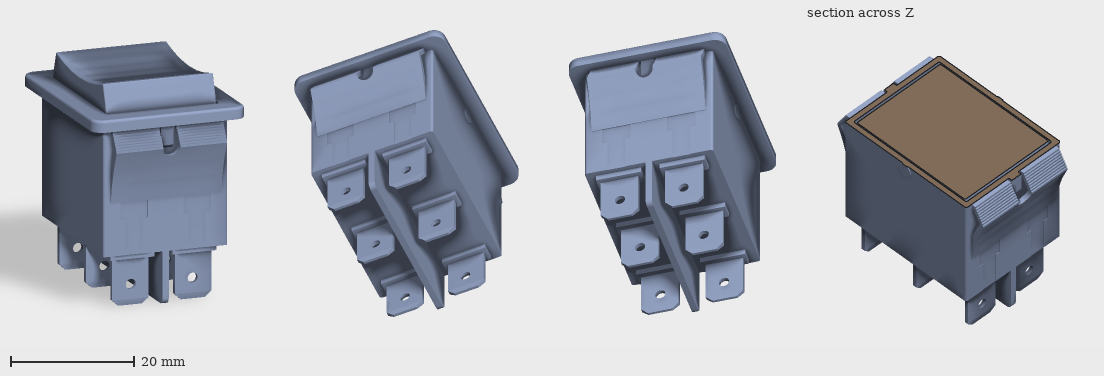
import cadquery as cq


FLANGE_LENGTH = 33.0
FLANGE_WIDTH = 26.6
FLANGE_THICKNESS = 2.0
FLANGE_CORNER_RADIUS = 2.0
FLANGE_EDGE_RADIUS = 0.5

OPENING_LENGTH = 25.9
OPENING_WIDTH = 19.55
OPENING_CORNER_RADIUS = 0.25
OPENING_FLOOR_Z = -2.9

ROCKER_WIDTH = 19.2
ROCKER_TOP_Z = 6.55
ROCKER_DISH_Z = 5.0
ROCKER_TOP_LENGTH = 21.1
ROCKER_BASE_LENGTH = 25.83
ROCKER_BULGE_LENGTH = 24.23
ROCKER_BULGE_Z = 1.75
ROCKER_EDGE_RADIUS = 0.2

BODY_LENGTH = 28.1
BODY_WIDTH = 21.7
BODY_HEIGHT = 21.7
BODY_CORNER_RADIUS = 0.4

PIVOT_DIAMETER = 2.6
PIVOT_PROTRUSION = 0.15

CLIP_SPAN = 33.7
CLIP_WIDTH = 19.25
CLIP_TOP_Z = -0.15
CLIP_BOTTOM_Z = -12.7
CLIP_TOE = 0.07
CLIP_EMBED = 0.37
STEP_COUNT = 9
STAIR_HEIGHT = 3.5
STEP_HEIGHT = STAIR_HEIGHT / STEP_COUNT
STEP_DEPTH = 0.238
CLIP_OUTER_MID = (14.9, -8.88)
CLIP_INNER_ROOT_TOP_Z = -0.35
CLIP_INNER_TIP = (16.0, -3.35)
CLIP_INNER_MID = (14.95, -5.6)
CLIP_INNER_ROOT_BOTTOM_Z = -8.0
CLIP_SLOT_WIDTH = 2.97
CLIP_SLOT_BOTTOM_Z = -5.05

STOP_WIDTH = 2.2
STOP_PROTRUSION = 0.7
STOP_FACE_HEIGHT = 3.65
STOP_HEIGHT = 4.2

RECESS_DEPTH = 0.07
RECESS_OFFSET = 5.5
RECESS_TOP_Z = CLIP_BOTTOM_Z
RECESS_SHOULDER_Z = -15.7
RECESS_HEAD_WIDTH = 4.8
RECESS_STEM_WIDTH = 2.97

TIP_Z = -30.65
TERMINAL_PITCH = 11.9
TERMINAL_ROW_OFFSET = 5.45
TERMINAL_WIDTH = 6.35
TERMINAL_THICKNESS = 0.75
TERMINAL_TIP_HEIGHT = 1.0
TERMINAL_TIP_INSET = 1.1
TERMINAL_TIP_BEVEL = 0.15
TERMINAL_HOLE_DIAMETER = 1.7
TERMINAL_HOLE_OFFSET = 5.4
TERMINAL_HOLE_Z = -27.15
PAD_LENGTH = 2.45
PAD_WIDTH = 7.65
PAD_HEIGHT = 0.95
PAD_OFFSET = 5.4
BARRIER_THICKNESS = 1.08
BARRIER_CORNER_RADIUS = 1.0

BODY_END_X = BODY_LENGTH / 2
BODY_BOTTOM_Z = -BODY_HEIGHT


def box(length, width, bottom_z, top_z, x=0.0, y=0.0):
    """Upright box centred on (x, y)."""
    block = cq.Workplane("XY").box(length, width, top_z - bottom_z, centered=(True, True, False))
    return block.translate((x, y, bottom_z))


def extrude_along_y(profile, width):
    """Extrude an XZ profile symmetrically about Y = 0."""
    return profile.extrude(width / 2, both=True)


def on_both_ends(feature):
    """Feature together with its mirror image at the other X end."""
    return feature.union(feature.mirror("YZ"))


def make_flange():
    flange = box(FLANGE_LENGTH, FLANGE_WIDTH, 0.0, FLANGE_THICKNESS)
    flange = flange.edges("|Z").fillet(FLANGE_CORNER_RADIUS)
    return flange.faces(">Z").edges().fillet(FLANGE_EDGE_RADIUS)


def make_body():
    body = box(BODY_LENGTH, BODY_WIDTH, BODY_BOTTOM_Z, 0.0)
    return body.edges("|Z").fillet(BODY_CORNER_RADIUS)


def make_opening():
    opening = box(OPENING_LENGTH, OPENING_WIDTH, OPENING_FLOOR_Z, FLANGE_THICKNESS)
    return opening.edges("|Z").fillet(OPENING_CORNER_RADIUS)


def make_rocker():
    top_x = ROCKER_TOP_LENGTH / 2
    base_x = ROCKER_BASE_LENGTH / 2
    bulge_x = ROCKER_BULGE_LENGTH / 2
    profile = (
        cq.Workplane("XZ")
        .moveTo(-base_x, OPENING_FLOOR_Z)
        .threePointArc((-bulge_x, ROCKER_BULGE_Z), (-top_x, ROCKER_TOP_Z))
        .threePointArc((0.0, ROCKER_DISH_Z), (top_x, ROCKER_TOP_Z))
        .threePointArc((bulge_x, ROCKER_BULGE_Z), (base_x, OPENING_FLOOR_Z))
        .close()
    )
    rocker = extrude_along_y(profile, ROCKER_WIDTH)
    return rocker.edges("not <Z").fillet(ROCKER_EDGE_RADIUS)


def make_pivots():
    profile = cq.Workplane("XZ").center(0.0, -PIVOT_DIAMETER / 2).circle(PIVOT_DIAMETER / 2)
    return extrude_along_y(profile, BODY_WIDTH + 2 * PIVOT_PROTRUSION)


def make_clip():
    """Clip at the +X end: stepped ramp outside, bowed spring leg below it."""
    root_x = BODY_END_X - CLIP_EMBED
    tip_x = CLIP_SPAN / 2
    profile = cq.Workplane("XZ").moveTo(root_x, CLIP_TOP_Z)
    for step in range(STEP_COUNT):
        step_x = tip_x - (STEP_COUNT - 1 - step) * STEP_DEPTH
        profile = profile.lineTo(step_x, CLIP_TOP_Z - step * STEP_HEIGHT)
        profile = profile.lineTo(step_x, CLIP_TOP_Z - (step + 1) * STEP_HEIGHT)
    profile = (
        profile.threePointArc(CLIP_OUTER_MID, (BODY_END_X + CLIP_TOE, CLIP_BOTTOM_Z))
        .lineTo(root_x, CLIP_BOTTOM_Z)
        .lineTo(root_x, CLIP_INNER_ROOT_BOTTOM_Z)
        .lineTo(BODY_END_X, CLIP_INNER_ROOT_BOTTOM_Z)
        .threePointArc(CLIP_INNER_MID, CLIP_INNER_TIP)
        .lineTo(BODY_END_X, CLIP_INNER_ROOT_TOP_Z)
        .lineTo(root_x, CLIP_INNER_ROOT_TOP_Z)
        .close()
    )
    clip = extrude_along_y(profile, CLIP_WIDTH)

    slot_arc_z = CLIP_SLOT_BOTTOM_Z + CLIP_SLOT_WIDTH / 2
    slot = (
        cq.Workplane("YZ")
        .moveTo(-CLIP_SLOT_WIDTH / 2, 0.0)
        .lineTo(-CLIP_SLOT_WIDTH / 2, slot_arc_z)
        .threePointArc((0.0, CLIP_SLOT_BOTTOM_Z), (CLIP_SLOT_WIDTH / 2, slot_arc_z))
        .lineTo(CLIP_SLOT_WIDTH / 2, 0.0)
        .close()
        .extrude(CLIP_SPAN)
    )
    return clip.cut(slot)


def make_stop():
    """Stop block at the +X end, bevelled at its lower edge."""
    profile = (
        cq.Workplane("XZ")
        .moveTo(0.0, 0.0)
        .lineTo(BODY_END_X + STOP_PROTRUSION, 0.0)
        .lineTo(BODY_END_X + STOP_PROTRUSION, -STOP_FACE_HEIGHT)
        .lineTo(BODY_END_X, -STOP_HEIGHT)
        .lineTo(0.0, -STOP_HEIGHT)
        .close()
    )
    stop = extrude_along_y(profile, STOP_WIDTH)
    return stop.cut(make_opening())


def make_recesses():
    """Pair of stepped recesses at the +X end, open at the bottom of the body."""
    recesses = cq.Workplane("XY")
    depth_both_ways = 2 * RECESS_DEPTH
    for y in (-RECESS_OFFSET, RECESS_OFFSET):
        head = box(depth_both_ways, RECESS_HEAD_WIDTH, RECESS_SHOULDER_Z, RECESS_TOP_Z, BODY_END_X, y)
        stem = box(depth_both_ways, RECESS_STEM_WIDTH, BODY_BOTTOM_Z, RECESS_TOP_Z, BODY_END_X, y)
        recesses = recesses.union(head).union(stem)
    return recesses


def tapered_outline(plane, width, tip_inset):
    """Centred blade outline whose sides turn inwards over the tip."""
    half = width / 2
    shoulder_z = TIP_Z + TERMINAL_TIP_HEIGHT
    return (
        cq.Workplane(plane)
        .moveTo(-half, BODY_BOTTOM_Z)
        .lineTo(-half, shoulder_z)
        .lineTo(-half + tip_inset, TIP_Z)
        .lineTo(half - tip_inset, TIP_Z)
        .lineTo(half, shoulder_z)
        .lineTo(half, BODY_BOTTOM_Z)
        .close()
    )


def make_terminal(x, side):
    """Blade terminal under its pad; side is the sign of Y."""
    broad = tapered_outline("YZ", TERMINAL_WIDTH, TERMINAL_TIP_INSET)
    thin = tapered_outline("XZ", TERMINAL_THICKNESS, TERMINAL_TIP_BEVEL)
    blade = broad.extrude(TERMINAL_THICKNESS / 2, both=True)
    blade = blade.intersect(extrude_along_y(thin, TERMINAL_WIDTH))
    blade = blade.translate((x, side * TERMINAL_ROW_OFFSET, 0.0))
    hole = (
        cq.Workplane("YZ", origin=(x, 0.0, 0.0))
        .center(side * TERMINAL_HOLE_OFFSET, TERMINAL_HOLE_Z)
        .circle(TERMINAL_HOLE_DIAMETER / 2)
        .extrude(TERMINAL_THICKNESS, both=True)
    )
    pad = box(PAD_LENGTH, PAD_WIDTH, BODY_BOTTOM_Z - PAD_HEIGHT, BODY_BOTTOM_Z, x, side * PAD_OFFSET)
    return blade.cut(hole).union(pad)


def make_barrier():
    barrier = box(BODY_LENGTH, BARRIER_THICKNESS, TIP_Z, BODY_BOTTOM_Z)
    return barrier.faces("<Z").edges("|Y").fillet(BARRIER_CORNER_RADIUS)


housing = make_flange().union(make_body()).union(make_pivots())
housing = housing.cut(make_opening()).cut(on_both_ends(make_recesses()))

result = housing.union(make_rocker())
result = result.union(on_both_ends(make_stop()))
result = result.union(on_both_ends(make_clip()))
result = result.union(make_barrier())
for terminal_x in (-TERMINAL_PITCH, 0.0, TERMINAL_PITCH):
    for row_side in (-1, 1):
        result = result.union(make_terminal(terminal_x, row_side))